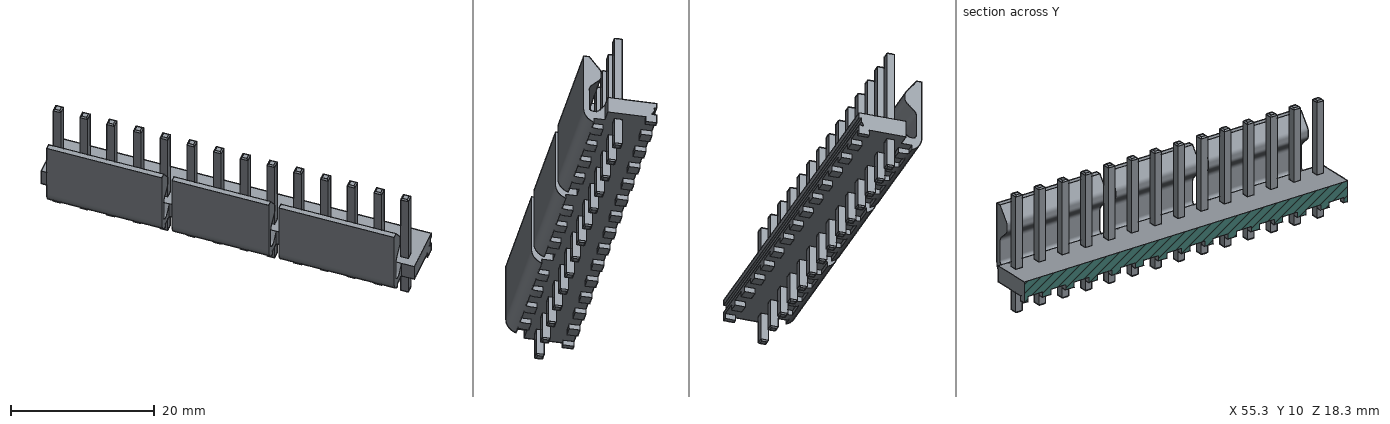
import cadquery as cq
import math


PIN_COUNT = 14
PITCH = 3.96
PIN_WIDTH = 1.14
PIN_LENGTH = 18.29
PIN_TAIL = 3.56
PIN_CHAMFER = 0.2

BODY_LENGTH = 55.29
DEPTH = 10.01
BODY_BACK = 5.2
BODY_FRONT = -1.78
BODY_TOP = 3.3
FOOT_HEIGHT = 0.8
FOOT_WIDTH = 1.5
FOOT_DEPTH = 1.55

GROOVE_TOP = 2.5
GROOVE_KNEE = 1.9
GROOVE_TIP = 1.5
GROOVE_BOTTOM = 1.35
GROOVE_DEPTH = 0.35
GROOVE_TIP_DEPTH = 0.65

WALL_FRONT = BODY_BACK - DEPTH
WALL_THICKNESS = 0.8
WALL_INNER = WALL_FRONT + WALL_THICKNESS
WALL_TOP = 11.3
BEND_RADIUS = 2.2
VALLEY_FLOOR = 2.0
VALLEY_RUN = 1.06
VALLEY_REAR_RADIUS = 0.8
VALLEY_FRONT_RADIUS = 0.65
HOOK_REACH = 1.7
HOOK_UPPER = 9.05
HOOK_LOWER = 7.7
HOOK_RADIUS = 1.0
HOOK_ROOT = 6.1
HOOK_ROOT_RADIUS = 1.2
WALL_GAP = 1.5
GAP_AFTER_PINS = (5, 9)

FIRST_PIN_X = -(PIN_COUNT - 1) * PITCH / 2


def pin_x(index):
    return FIRST_PIN_X + index * PITCH


def extrude_along_x(profile, x_start, x_end):
    """Extrude a YZ sketch between two X positions."""
    return profile.extrude(x_end - x_start).translate((x_start, 0, 0))


def rounded_outline(corners):
    """Closed YZ outline from (y, z, radius) corners; each radius is a tangent arc."""
    trimmed = []
    for i, (y, z, radius) in enumerate(corners):
        corner = cq.Vector(y, z)
        to_prev = (cq.Vector(*corners[i - 1][:2]) - corner).normalized()
        to_next = (cq.Vector(*corners[(i + 1) % len(corners)][:2]) - corner).normalized()
        half_angle = to_prev.getAngle(to_next) / 2
        setback = radius / math.tan(half_angle)
        bisector = (to_prev + to_next).normalized()
        middle = corner + bisector * (radius / math.sin(half_angle) - radius)
        start = corner + to_prev * setback
        end = corner + to_next * setback
        trimmed.append((start, middle, end, radius))

    outline = cq.Workplane("YZ").moveTo(trimmed[0][2].x, trimmed[0][2].y)
    for start, middle, end, radius in trimmed[1:]:
        outline = outline.lineTo(start.x, start.y)
        if radius > 0:
            outline = outline.threePointArc((middle.x, middle.y), (end.x, end.y))
    return outline.close()


def make_bar():
    profile = cq.Workplane("YZ").polyline([
        (BODY_FRONT, FOOT_HEIGHT),
        (BODY_FRONT, BODY_TOP),
        (BODY_BACK, BODY_TOP),
        (BODY_BACK, GROOVE_TOP),
        (BODY_BACK - GROOVE_DEPTH, GROOVE_TOP),
        (BODY_BACK - GROOVE_DEPTH, GROOVE_KNEE),
        (BODY_BACK - GROOVE_TIP_DEPTH, GROOVE_TIP),
        (BODY_BACK - GROOVE_TIP_DEPTH, GROOVE_BOTTOM),
        (BODY_BACK, GROOVE_BOTTOM),
        (BODY_BACK, FOOT_HEIGHT),
    ]).close()
    return extrude_along_x(profile, -BODY_LENGTH / 2, BODY_LENGTH / 2)


def wall_sections():
    """X ranges of the wall: it runs between the end pin axes, split by the slots."""
    sections = []
    start = pin_x(0)
    for pins_before in GAP_AFTER_PINS:
        gap_centre = pin_x(pins_before) - PITCH / 2
        sections.append((start, gap_centre - WALL_GAP / 2))
        start = gap_centre + WALL_GAP / 2
    sections.append((start, pin_x(PIN_COUNT - 1)))
    return sections


def make_wall(x_start, x_end):
    hook_face = WALL_INNER + HOOK_REACH
    outline = rounded_outline([
        (BODY_FRONT, 0, 0),
        (BODY_FRONT, BODY_TOP, 0),
        (BODY_FRONT - VALLEY_RUN, VALLEY_FLOOR, VALLEY_REAR_RADIUS),
        (WALL_INNER, VALLEY_FLOOR, VALLEY_FRONT_RADIUS),
        (WALL_INNER, HOOK_ROOT, HOOK_ROOT_RADIUS),
        (hook_face, HOOK_LOWER, HOOK_RADIUS),
        (hook_face, HOOK_UPPER, HOOK_RADIUS),
        (WALL_INNER, WALL_TOP, 0),
        (WALL_FRONT, WALL_TOP, 0),
        (WALL_FRONT, 0, BEND_RADIUS),
    ])
    return extrude_along_x(outline, x_start, x_end)


def foot_ranges():
    """X ranges of the feet midway between pins; the outermost ones stop at the bar ends."""
    ranges = []
    for index in range(PIN_COUNT + 1):
        centre = pin_x(index) - PITCH / 2
        start = max(centre - FOOT_WIDTH / 2, -BODY_LENGTH / 2)
        end = min(centre + FOOT_WIDTH / 2, BODY_LENGTH / 2)
        ranges.append((start, end))
    return ranges


def box_between(x_range, y_range, z_range):
    size = [high - low for low, high in (x_range, y_range, z_range)]
    corner = (x_range[0], y_range[0], z_range[0])
    return cq.Workplane("XY").box(*size, centered=False).translate(corner)


def make_rear_foot(x_range):
    return box_between(x_range, (BODY_BACK - FOOT_DEPTH, BODY_BACK), (0, FOOT_HEIGHT))


def make_relief(x_range):
    """Recess under the wall's root, leaving the front feet standing on either side."""
    return box_between(x_range, (BODY_FRONT - FOOT_DEPTH, BODY_FRONT), (0, FOOT_HEIGHT))


def make_pin(index):
    pin = cq.Workplane("XY").box(PIN_WIDTH, PIN_WIDTH, PIN_LENGTH, centered=(True, True, False))
    pin = pin.faces("<Z or >Z").chamfer(PIN_CHAMFER)
    return pin.translate((pin_x(index), 0, -PIN_TAIL))


result = make_bar()
for section in wall_sections():
    result = result.union(make_wall(*section))

feet = foot_ranges()
for foot, next_foot in zip(feet, feet[1:]):
    result = result.cut(make_relief((foot[1], next_foot[0])))
for foot in feet:
    result = result.union(make_rear_foot(foot))

for pin_index in range(PIN_COUNT):
    result = result.union(make_pin(pin_index))